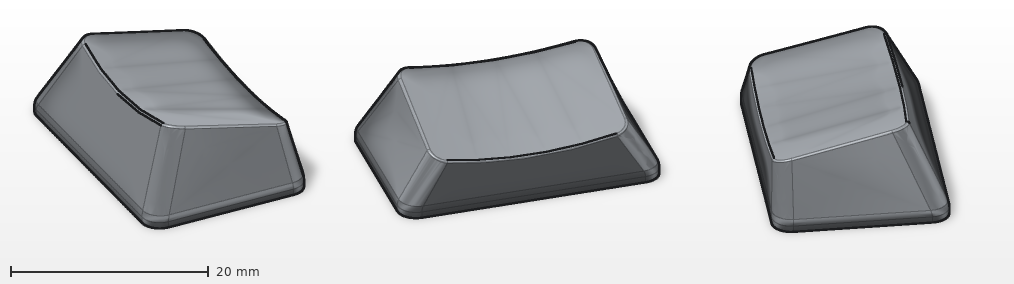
import cadquery as cq
import math

length = 27.7
width = 18.16
base_corner_radius = 2.0
skirt_height = 0.7
bend_height = 0.66
bend_sections = 4

crown_length = 20.5
crown_front_y = -4.98
crown_back_y = 8.55
crown_front_z = 9.77
crown_corner_radius = 1.8
tilt_angle = 13.2

dish_reach = 13.85
dish_front_radius = 33.23
dish_back_radius = 55.38
dish_front_depth = 1.85
dish_back_depth = 1.38
rim_radius = 0.28

tilt = math.radians(tilt_angle)
crown_run = crown_back_y - crown_front_y
crown_width = crown_run / math.cos(tilt)
crown_center = (
    0,
    (crown_front_y + crown_back_y) / 2,
    crown_front_z - crown_run / 2 * math.tan(tilt),
)
crown_normal = (0, math.sin(tilt), math.cos(tilt))
crown_plane = cq.Plane(origin=crown_center, xDir=(1, 0, 0), normal=crown_normal)


bend_middle_z = skirt_height + bend_height / 2
crown_back_z = crown_front_z - crown_run * math.tan(tilt)
crown_middle_z = (crown_front_z + crown_back_z) / 2
front_slope = (width / 2 + crown_front_y) / (crown_front_z - bend_middle_z)
back_slope = (width / 2 - crown_back_y) / (crown_back_z - bend_middle_z)
end_slope = (length - crown_length) / 2 / (crown_middle_z - bend_middle_z)


def rounded_rectangle(size_x, size_y, radius):
    return cq.Sketch().rect(size_x, size_y).vertices().fillet(radius)


def bend_outline(rise):
    """Outline at a rise above the wall; its inset grows as a parabola from vertical to full slope."""
    inset_factor = rise**2 / (2 * bend_height)
    size_x = length - 2 * end_slope * inset_factor
    size_y = width - (front_slope + back_slope) * inset_factor
    center_y = (front_slope - back_slope) * inset_factor / 2
    outline = rounded_rectangle(size_x, size_y, base_corner_radius)
    return outline.moved(cq.Location(cq.Vector(0, center_y, skirt_height + rise)))


def make_skirt():
    outline = rounded_rectangle(length, width, base_corner_radius)
    return cq.Workplane("XY").placeSketch(outline).extrude(skirt_height)


def make_bend():
    rises = [bend_height * i / (bend_sections - 1) for i in range(bend_sections)]
    outlines = [bend_outline(rise) for rise in rises]
    return cq.Workplane("XY").placeSketch(*outlines).loft()


def make_sloping_body():
    """Ruled sides from the top of the bend to the tilted crown outline."""
    crown_outline = rounded_rectangle(crown_length, crown_width, crown_corner_radius)
    crown_outline = crown_outline.moved(cq.Location(crown_plane))
    return cq.Workplane("XY").placeSketch(bend_outline(bend_height), crown_outline).loft(ruled=True)


def dish_circle(distance, radius, depth):
    """Circle across the slope, dipping to the given depth below the crown plane."""
    center = (
        cq.Vector(*crown_center)
        + crown_plane.yDir * distance
        + crown_plane.zDir * (radius - depth)
    )
    return cq.Wire.makeCircle(radius, center, crown_plane.yDir)


def make_dish():
    front_circle = dish_circle(-dish_reach, dish_front_radius, dish_front_depth)
    back_circle = dish_circle(dish_reach, dish_back_radius, dish_back_depth)
    return cq.Workplane(cq.Solid.makeLoft([front_circle, back_circle], True))


body = make_skirt().union(make_bend()).union(make_sloping_body()).cut(make_dish())

dish_face = cq.selectors.NearestToPointSelector(crown_center)
result = body.faces(dish_face).edges().fillet(rim_radius)